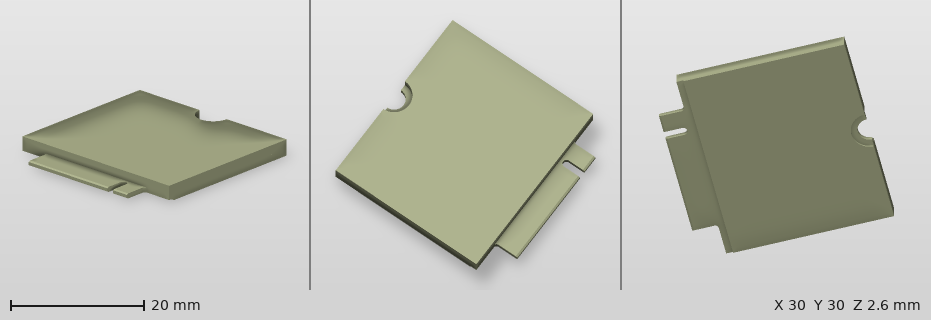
import cadquery as cq

WIDTH = 30.0
LENGTH = 30.0
BACK_Y = LENGTH / 2
TAB_END_Y = -LENGTH / 2

BASE_THICKNESS = 0.3
BOARD_THICKNESS = 0.8
LID_THICKNESS = 1.5
BOARD_Z = BASE_THICKNESS
LID_Z = BOARD_Z + BOARD_THICKNESS

TAB_WIDTH = 20.0
TAB_LENGTH = 4.0
TAB_ROOT_RADIUS = 0.5
TAB_BEVEL_LENGTH = 0.3
TAB_BEVEL_HEIGHT = 0.15
SHOULDER_Y = TAB_END_Y + TAB_LENGTH

SLOT_WIDTH = 1.2
SLOT_DEPTH = 3.5
SLOT_X = 6.63

BASE_SETBACK = 1.08

NOTCH_RADIUS = 1.75
COVER_NOTCH_RADIUS = 2.75


def plate(width, front_y, back_y, bottom_z, thickness):
    """Rectangular plate centred on X."""
    return cq.Workplane("XY").box(
        width, back_y - front_y, thickness, centered=(True, False, False)
    ).translate((0, front_y, bottom_z))


def cut_notch(body, radius, bottom_z, thickness):
    """Cut a half-round notch into the middle of the back edge."""
    cutter = (
        cq.Workplane("XY", origin=(0, BACK_Y, bottom_z))
        .circle(radius)
        .extrude(thickness)
    )
    return body.cut(cutter)


def keying_slot():
    """Round-ended slot cutter, open at the tab end."""
    half_width = SLOT_WIDTH / 2
    arc_start_y = TAB_END_Y + SLOT_DEPTH - half_width
    return (
        cq.Workplane("XY", origin=(SLOT_X, 0, BOARD_Z))
        .moveTo(-half_width, TAB_END_Y)
        .lineTo(-half_width, arc_start_y)
        .threePointArc((0, TAB_END_Y + SLOT_DEPTH), (half_width, arc_start_y))
        .lineTo(half_width, TAB_END_Y)
        .close()
        .extrude(BOARD_THICKNESS)
    )


def tab():
    """Connector tab bevelled along the top and bottom of its free end."""
    bevel_y = TAB_END_Y + TAB_BEVEL_LENGTH
    profile = [
        (SHOULDER_Y, BOARD_Z),
        (bevel_y, BOARD_Z),
        (TAB_END_Y, BOARD_Z + TAB_BEVEL_HEIGHT),
        (TAB_END_Y, LID_Z - TAB_BEVEL_HEIGHT),
        (bevel_y, LID_Z),
        (SHOULDER_Y, LID_Z),
    ]
    return cq.Workplane("YZ").polyline(profile).close().extrude(TAB_WIDTH / 2, both=True)


def make_board():
    """Circuit board with its connector tab, keying slot and mounting notch."""
    body = plate(WIDTH, SHOULDER_Y, BACK_Y, BOARD_Z, BOARD_THICKNESS).union(tab())
    middle_z = BOARD_Z + BOARD_THICKNESS / 2
    for root_x in (-TAB_WIDTH / 2, TAB_WIDTH / 2):
        root_edge = cq.selectors.NearestToPointSelector((root_x, SHOULDER_Y, middle_z))
        body = body.edges("|Z").edges(root_edge).fillet(TAB_ROOT_RADIUS)
    body = body.cut(keying_slot())
    return cut_notch(body, NOTCH_RADIUS, BOARD_Z, BOARD_THICKNESS)


def make_lid():
    """Thick cover on top of the board."""
    body = plate(WIDTH, SHOULDER_Y, BACK_Y, LID_Z, LID_THICKNESS)
    return cut_notch(body, COVER_NOTCH_RADIUS, LID_Z, LID_THICKNESS)


def make_base():
    """Thin cover under the board."""
    body = plate(WIDTH, SHOULDER_Y + BASE_SETBACK, BACK_Y, 0, BASE_THICKNESS)
    return cut_notch(body, COVER_NOTCH_RADIUS, 0, BASE_THICKNESS)


board = make_board()
lid = make_lid()
base = make_base()
result = cq.Compound.makeCompound([board.val(), lid.val(), base.val()])